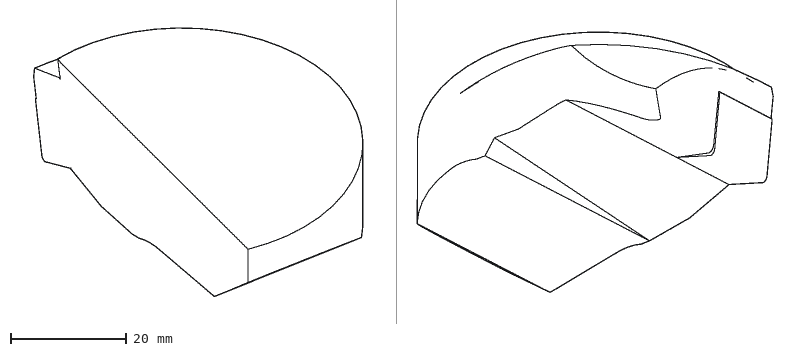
import cadquery as cq
import math

SHANK_RADIUS = 31.5
FRONT_Y = -6.0
DEPTH = 38.25
LONG = 61.2

RIM_HEIGHT = 4.9
SHOULDER_RADIUS = 42.8
SHOULDER_Z = -11.4
SKIRT_ANGLE = 19.5
CORNER_RADIUS = 18.4
CORNER_CENTER_X = -25.55

SEAM_TOP = (-29.8, 0)
SEAM_BOTTOM = (-6.65, -22.5)
RAKE_ANGLE = 9.4

STEP_START = (-4.35, -21.9)
STEP_MIDDLE = (-1.0, -20.5)
STEP_END = (3.05, -19.8)
BEVEL_START = (20.05, -18.1)
BEVEL_END = (SHANK_RADIUS, -6.9)

HEEL = (-32.1, -26.8)
HEAD_TIP = (-44.5, -34.1)
HEAD_TOP = (-43.2, 0)
BELLY = (-19.7, -26.1)
HEAD_EDGE_ROUND = 0.9

INSERT_TIP = (-45.1, -35.2)
INSERT_OUTER_TOP = (-44.4, -19.8)
INSERT_INNER_TOP = (-31.15, -12.1)
INSERT_THICKNESS = 11.0
INSERT_ROUND = 0.8

seam_x = SEAM_BOTTOM[0] - SEAM_TOP[0]
seam_z = SEAM_BOTTOM[1] - SEAM_TOP[1]
seam_length = math.hypot(seam_x, seam_z)
across = (seam_z / seam_length, -seam_x / seam_length)
rake_slope = math.tan(math.radians(RAKE_ANGLE))
rake_normal = cq.Vector(-rake_slope * across[0], 1, -rake_slope * across[1]).normalized()


def on_rake_face(point):
    """Lift an (x, z) position onto the rake face."""
    x, z = point
    distance = (x - SEAM_TOP[0]) * across[0] + (z - SEAM_TOP[1]) * across[1]
    return cq.Vector(x, FRONT_Y + rake_slope * distance, z)


def rake_prism(outline, thickness):
    """Prism standing at right angles behind the rake face."""
    wire = cq.Wire.makePolygon([on_rake_face(p) for p in outline], close=True)
    return cq.Workplane(obj=cq.Solid.extrudeLinear(wire, [], rake_normal * thickness))


def round_edge(prism, corner, radius):
    """Round the prism edge that starts at the given corner."""
    target = on_rake_face(corner) + rake_normal * INSERT_THICKNESS
    edge = prism.edges(cq.selectors.ParallelDirSelector(rake_normal)).edges(
        cq.selectors.NearestToPointSelector(target.toTuple())
    )
    return prism.newObject([edge.val()]).fillet(radius)


def make_head():
    outline = [SEAM_TOP, SEAM_BOTTOM, BELLY, HEEL, HEAD_TIP, HEAD_TOP]
    return round_edge(rake_prism(outline, LONG), HEAD_TIP, HEAD_EDGE_ROUND)


def make_insert():
    outline = [HEEL, INSERT_TIP, INSERT_OUTER_TOP, INSERT_INNER_TOP]
    insert = rake_prism(outline, INSERT_THICKNESS)
    for corner in (INSERT_TIP, INSERT_OUTER_TOP, INSERT_INNER_TOP):
        insert = round_edge(insert, corner, INSERT_ROUND)
    return insert


def make_tip_clearance():
    """Space around the rounded insert tip, kept free of holder material."""
    outline = [HEEL, INSERT_TIP, INSERT_OUTER_TOP]
    return rake_prism(outline, INSERT_THICKNESS)


def make_body():
    """Shank with its stepped underside, right of the seam."""
    return (
        cq.Workplane("XZ", origin=(0, FRONT_Y, 0))
        .moveTo(*SEAM_TOP)
        .lineTo(*SEAM_BOTTOM)
        .lineTo(*STEP_START)
        .threePointArc(STEP_MIDDLE, STEP_END)
        .lineTo(*BEVEL_START)
        .lineTo(*BEVEL_END)
        .lineTo(SHANK_RADIUS, 0)
        .close()
        .extrude(-LONG)
    )


def make_envelope():
    """Outer limits: round shank, plus shoulder and skirt on the head side."""
    shank = cq.Workplane("XY").circle(SHANK_RADIUS).extrude(-DEPTH)
    skirt_radius = SHOULDER_RADIUS + (DEPTH + SHOULDER_Z) * math.tan(math.radians(SKIRT_ANGLE))
    shoulder_outline = [
        (0, -RIM_HEIGHT),
        (-SHANK_RADIUS, -RIM_HEIGHT),
        (-SHOULDER_RADIUS, SHOULDER_Z),
        (-skirt_radius, -DEPTH),
        (0, -DEPTH),
    ]
    straight = cq.Workplane("XZ").polyline(shoulder_outline).close().extrude(-FRONT_Y)
    turned = cq.Workplane("XZ").polyline(shoulder_outline).close().revolve(360, (0, 0), (0, 1))
    corner_end_x = CORNER_CENTER_X - CORNER_RADIUS
    corner_y = SHANK_RADIUS - CORNER_RADIUS
    diagonal = CORNER_RADIUS * math.sqrt(0.5)
    plan = (
        cq.Workplane("XY")
        .moveTo(0, 0)
        .lineTo(0, SHANK_RADIUS)
        .lineTo(CORNER_CENTER_X, SHANK_RADIUS)
        .threePointArc((CORNER_CENTER_X - diagonal, corner_y + diagonal), (corner_end_x, corner_y))
        .lineTo(-LONG, corner_y)
        .lineTo(-LONG, 0)
        .close()
        .extrude(-DEPTH)
    )
    return shank.union(straight).union(turned.intersect(plan))


holder = make_body().union(make_head()).intersect(make_envelope())
insert = make_insert()
holder = holder.cut(insert).cut(make_tip_clearance())
result = holder.union(insert, clean=False)